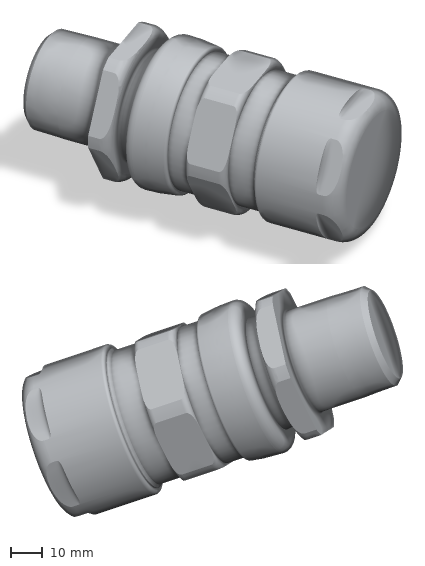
import cadquery as cq
import math


entry_hex_start = 27.7
entry_hex_end = 34.7
ring_start = 39.6
ring_end = 54.1
main_hex_start = 61.1
main_hex_end = 75.1
seal_start = 83.6
cap_start = 85.0
spigot_end = 103.0
cap_end = 114.5

hex_flats = 46.0
hex_corner_diameter = 50.7
entry_hex_round = 3.2
main_hex_round = 2.1

thread_diameter = 33.4
taper_end = 12.9
thread_tip_diameter = 32.9
thread_chamfer = 1.8
thread_root_fillet = 0.6
neck_small_diameter = 36.0
neck_large_diameter = 37.0
neck_fillet = 0.8

ring_diameter = 50.4
ring_front_round = 3.3
ring_back_diameter = 48.5
ring_back_round = 0.9

barrel_diameter = 45.1
spigot_diameter = 44.3
seal_diameter = 46.0
seal_chamfer = 0.9
cap_diameter = 49.5
cap_front_round = 1.0
cap_end_round = 5.4
cap_flats = 46.0
cap_flat_start = 106.4
cap_flat_fillet = 1.0

side_count = 6


def revolve_about_x(outline):
    """Full turn about the X axis of an outline drawn in X and radius."""
    return outline.close().revolve(360, (0, 0, 0), (1, 0, 0))


def cylinder(start, end, diameter):
    """Solid round bar along X."""
    return cq.Workplane("YZ", origin=(start, 0, 0)).circle(diameter / 2).extrude(end - start)


def hexagon(start, end):
    """Hexagonal bar along X with two flats square to Z and corners on the Y axis."""
    corner_to_corner = hex_flats / math.cos(math.pi / side_count)
    bar = cq.Workplane("YZ", origin=(start, 0, 0)).polygon(side_count, corner_to_corner)
    return bar.extrude(end - start)


def make_entry():
    """Tapered thread, hexagon and neck, with a spigot that fills the name ring."""
    thread_radius = thread_diameter / 2
    tip_radius = thread_tip_diameter / 2
    thread_end = entry_hex_start - thread_root_fillet
    thread = revolve_about_x(
        cq.Workplane("XY")
        .lineTo(0, tip_radius - thread_chamfer)
        .lineTo(thread_chamfer, tip_radius)
        .lineTo(taper_end, thread_radius)
        .lineTo(thread_end, thread_radius)
        .radiusArc((entry_hex_start, thread_radius + thread_root_fillet), -thread_root_fillet)
        .lineTo(entry_hex_start, 0)
    )

    envelope = cylinder(entry_hex_start, entry_hex_end, hex_corner_diameter)
    envelope = envelope.faces(">X").edges().fillet(entry_hex_round)
    nut = hexagon(entry_hex_start, entry_hex_end).intersect(envelope)

    neck_small_radius = neck_small_diameter / 2
    neck_large_radius = neck_large_diameter / 2
    neck = revolve_about_x(
        cq.Workplane("XY")
        .moveTo(entry_hex_end, 0)
        .lineTo(entry_hex_end, neck_small_radius + neck_fillet)
        .radiusArc((entry_hex_end + neck_fillet, neck_small_radius), -neck_fillet)
        .lineTo(ring_start, neck_large_radius)
        .lineTo(ring_end, neck_large_radius)
        .lineTo(ring_end, 0)
    )
    return thread.union(nut).union(neck)


def make_ring():
    """Ring with a large front round, a crowned outside and a small back round."""
    outer_radius = ring_diameter / 2
    back_radius = ring_back_diameter / 2
    bore_radius = neck_large_diameter / 2
    crown_start = ring_start + ring_front_round
    crown_end = ring_end - ring_back_round
    return revolve_about_x(
        cq.Workplane("XY")
        .moveTo(ring_start, bore_radius)
        .lineTo(ring_start, outer_radius - ring_front_round)
        .radiusArc((crown_start, outer_radius), ring_front_round)
        .tangentArcPoint((crown_end, back_radius), relative=False)
        .radiusArc((ring_end, back_radius - ring_back_round), ring_back_round)
        .lineTo(ring_end, bore_radius)
    )


def make_main():
    """Round barrel, hexagon and a spigot that goes into the cap."""
    envelope = cylinder(main_hex_start, main_hex_end, hex_corner_diameter)
    envelope = envelope.faces("<X or >X").edges().fillet(main_hex_round)
    nut = hexagon(main_hex_start, main_hex_end).intersect(envelope)
    barrel = cylinder(ring_end, main_hex_start, barrel_diameter)
    spigot = cylinder(main_hex_end, spigot_end, spigot_diameter)
    return barrel.union(nut).union(spigot)


def make_seal():
    """Chamfered ring around the spigot, in front of the cap."""
    seal = cylinder(seal_start, cap_start, seal_diameter).faces("<X").edges().chamfer(seal_chamfer)
    return seal.cut(cylinder(seal_start, cap_start, spigot_diameter))


def make_cap():
    """Round cap with rounded rims, a blind bore for the spigot and six flats near its end."""
    cap = cylinder(cap_start, cap_end, cap_diameter)
    cap = cap.faces("<X").edges().fillet(cap_front_round)
    cap = cap.faces(">X").edges().fillet(cap_end_round)
    cap = cap.cut(cylinder(cap_start, spigot_end, spigot_diameter))

    flat_height = cap_flats / 2
    cutter = (
        cq.Workplane("XZ", origin=(0, cap_diameter / 2, 0))
        .moveTo(cap_flat_start, cap_diameter)
        .lineTo(cap_flat_start, flat_height + cap_flat_fillet)
        .radiusArc((cap_flat_start + cap_flat_fillet, flat_height), -cap_flat_fillet)
        .lineTo(cap_end, flat_height)
        .lineTo(cap_end, cap_diameter)
        .close()
        .extrude(cap_diameter)
    )
    for side in range(side_count):
        cap = cap.cut(cutter.rotate((0, 0, 0), (1, 0, 0), side * 360 / side_count))
    return cap


entry = make_entry()
ring = make_ring()
main = make_main()
seal = make_seal()
cap = make_cap()

result = cq.Compound.makeCompound([entry.val(), ring.val(), main.val(), seal.val(), cap.val()])